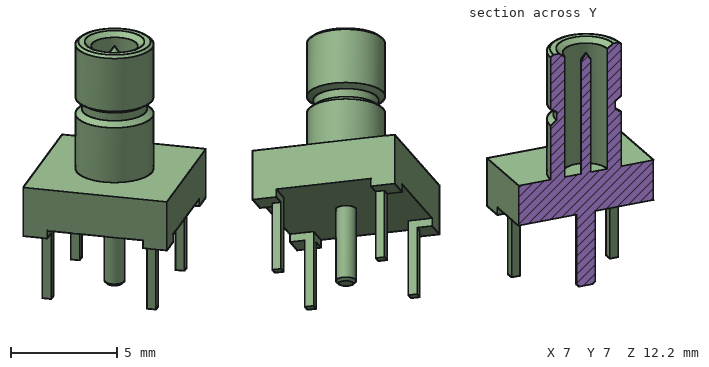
import cadquery as cq

total_height = 12.2
base_top = 5.81
base_bottom = 3.73
foot_bottom = 3.34

base_side = 7.0
foot_inner_offset = 2.33
leg_side = 0.44
foot_side = base_side / 2 - foot_inner_offset
foot_center = foot_inner_offset + foot_side / 2
leg_center = foot_inner_offset + leg_side / 2

barrel_radius = 3.68 / 2
groove_radius = 3.07 / 2
groove_lower_edge = 8.58
groove_floor_start = 8.81
groove_floor_end = 9.21
groove_upper_edge = 9.41
rim_chamfer_width = 0.15
rim_chamfer_height = 0.12

bore_radius = 2.2 / 2
mouth_radius = 2.8 / 2
mouth_depth = 0.22
contact_radius = 0.5 / 2
contact_tip = total_height - 0.22
contact_cone_height = 0.37

pin_radius = 0.96 / 2
pin_chamfer = 0.13


def revolved(profile):
    """Revolve a closed (radius, height) outline around the Z axis."""
    return cq.Workplane("XZ").polyline(profile).close().revolve(360, (0, 0), (0, 1))


def corner_posts(side, center, bottom, top):
    """Four square posts, one in each corner of the base."""
    return (
        cq.Workplane("XY")
        .workplane(offset=bottom)
        .rect(2 * center, 2 * center, forConstruction=True)
        .vertices()
        .rect(side, side)
        .extrude(top - bottom)
    )


base = (
    cq.Workplane("XY")
    .workplane(offset=base_bottom)
    .rect(base_side, base_side)
    .extrude(base_top - base_bottom)
)
feet = corner_posts(foot_side, foot_center, foot_bottom, base_bottom)
legs = corner_posts(leg_side, leg_center, 0, base_bottom)

barrel = revolved([
    (bore_radius, base_top),
    (barrel_radius, base_top),
    (barrel_radius, groove_lower_edge),
    (groove_radius, groove_floor_start),
    (groove_radius, groove_floor_end),
    (barrel_radius, groove_upper_edge),
    (barrel_radius, total_height - rim_chamfer_height),
    (barrel_radius - rim_chamfer_width, total_height),
    (mouth_radius, total_height),
    (bore_radius, total_height - mouth_depth),
])

contact = revolved([
    (0, base_top),
    (contact_radius, base_top),
    (contact_radius, contact_tip - contact_cone_height),
    (0, contact_tip),
])

signal_pin = (
    cq.Workplane("XY")
    .circle(pin_radius)
    .extrude(base_bottom)
    .faces("<Z")
    .chamfer(pin_chamfer)
)

result = base.union(feet).union(legs).union(barrel).union(contact).union(signal_pin)